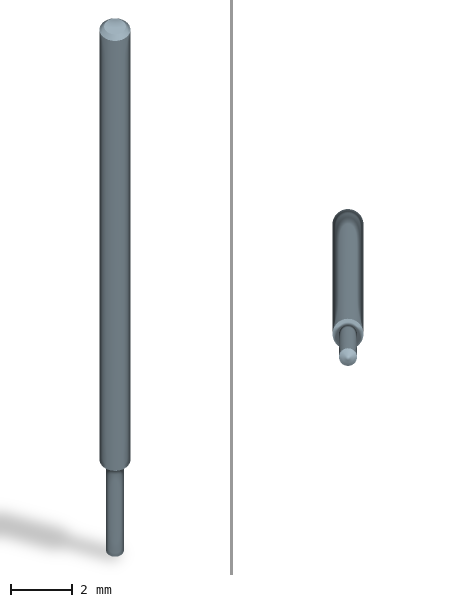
import cadquery as cq

TOTAL_LENGTH = 25.0

BARREL_DIAMETER = 1.0
BARREL_LENGTH = 20.5
TOP_CHAMFER = 0.15

STEM_DIAMETER = 0.58
TIP_LENGTH = 1.4
CONE_HEIGHT = 0.21

barrel_radius = BARREL_DIAMETER / 2
stem_radius = STEM_DIAMETER / 2

top_z = TOTAL_LENGTH / 2
bottom_z = -TOTAL_LENGTH / 2
shoulder_z = top_z - BARREL_LENGTH
tip_joint_z = bottom_z + TIP_LENGTH
cone_base_z = bottom_z + CONE_HEIGHT


def turned(profile):
    """Solid of revolution about Z from a list of (radius, z) points."""
    return cq.Workplane("XZ").polyline(profile).close().revolve(360, (0, 0), (0, 1))


def make_barrel():
    """Barrel with a chamfered top, stepping down to the stem at its shoulder."""
    return turned([
        (0, top_z),
        (barrel_radius - TOP_CHAMFER, top_z),
        (barrel_radius, top_z - TOP_CHAMFER),
        (barrel_radius, shoulder_z),
        (stem_radius, shoulder_z),
        (stem_radius, tip_joint_z),
        (0, tip_joint_z),
    ])


def make_tip():
    """Short cylinder flush with the stem, ending in a cone."""
    return turned([
        (0, tip_joint_z),
        (stem_radius, tip_joint_z),
        (stem_radius, cone_base_z),
        (0, bottom_z),
    ])


barrel = make_barrel()
tip = make_tip()

result = cq.Compound.makeCompound([barrel.val(), tip.val()])